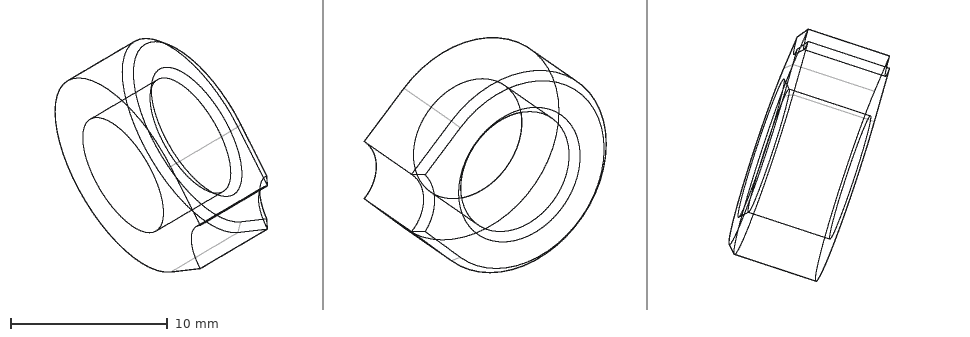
import cadquery as cq
import math

length = 14.92
thickness = 6.0
outer_diameter = 14.0
bore_diameter = 8.3
tip_spacing = 4.12
chamfer_size = 0.5

outer_radius = outer_diameter / 2
tip_x = length - outer_radius
tip_z = tip_spacing / 2
notch_floor_x = outer_radius

tip_distance = math.hypot(tip_x, tip_z)
tangent_angle = math.atan2(tip_z, tip_x) + math.acos(outer_radius / tip_distance)
tangent_x = outer_radius * math.cos(tangent_angle)
tangent_z = outer_radius * math.sin(tangent_angle)


def make_body():
    """Round body with two tangent flanks and a concave notch between the tips."""
    return (
        cq.Workplane("XZ")
        .moveTo(tangent_x, tangent_z)
        .threePointArc((-outer_radius, 0), (tangent_x, -tangent_z))
        .lineTo(tip_x, -tip_z)
        .threePointArc((notch_floor_x, 0), (tip_x, tip_z))
        .close()
        .extrude(-thickness)
    )


def make_bore():
    """Cylinder that passes through the full thickness."""
    return cq.Workplane("XZ").circle(bore_diameter / 2).extrude(-thickness)


bored_body = make_body().cut(make_bore())

result = bored_body.faces(">Y").edges().chamfer(chamfer_size)